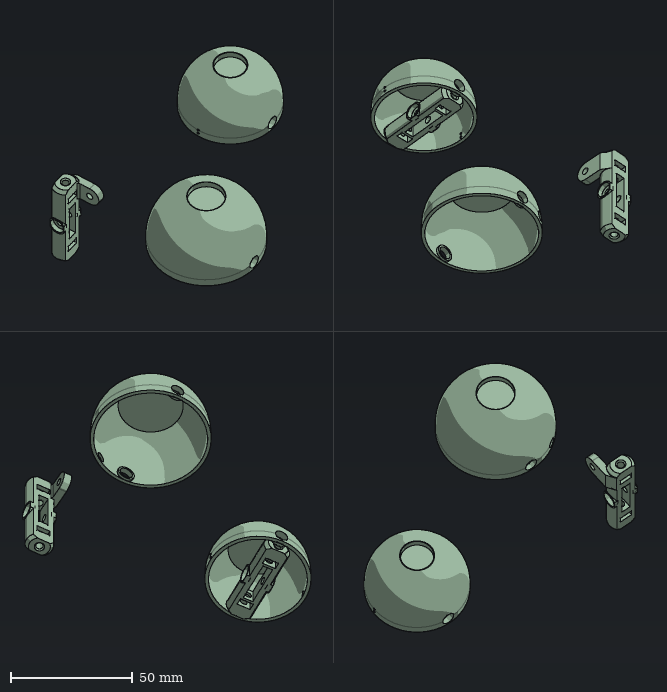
import cadquery as cq
import math

SMALL_DOME_RADIUS = 21.9
SMALL_DOME_HEIGHT = 20.7
SMALL_RECESS_RADIUS = 7.0
LARGE_DOME_RADIUS = 25.0
LARGE_DOME_HEIGHT = 23.6
LARGE_RECESS_RADIUS = 7.9
LARGE_DOME_CENTER = (40.8, -70.0, 4.9)
SKIRT_HEIGHT = 3.8
WALL = 1.2
RECESS_DEPTH = 2.8
RECESS_FLOOR = 1.2
SIDE_HOLE_DIAMETER = 5.6
SIDE_BOSS_RADIUS = 3.7
SMALL_SIDE_BORE = 3.2
LARGE_SIDE_BORE = 2.7
LEVER_HOLE_DIAMETER = 3.7
LEVER_HOLE_OFFSET = 13.0
THREAD_HOLE_DIAMETER = 1.0
THREAD_HOLE_SPACING = 2.0

SPINDLE_RADIUS = 6.0
SPINDLE_HALF_WIDTH = 3.5
END_CHAMFER = 1.5
TALL_SPINDLE_LENGTH = 43.1
TALL_SPINDLE_CENTER = (-14.0, -93.7, 0)
TALL_SPINDLE_TURN = 2
SHORT_SPINDLE_LENGTH = 37.4
SHORT_SPINDLE_DROP = 3.4
BORE_DIAMETER = 3.0
COUNTERSINK_DIAMETER = 4.3
SLOT_WIDTH = 4.4
SLOT_LENGTH = 18.2
NUT_SLOT_WIDTH = 6.0
NUT_SLOT_HEIGHT = 2.9
NUT_SLOT_INSET = 7.1
COLLAR_RADIUS = 4.0
COLLAR_REACH = 6.1
POCKET_RADIUS = 3.3
POCKET_DEPTH = 2.2

LEVER_BACK = 7.5
LEVER_THICKNESS = 3.5
LEVER_TIP_RADIUS = 4.6
LEVER_EYE = (9.4, 15.1)
LEVER_BEND_X = 0.6
LEVER_INNER_BEND_X = 4.5
LEVER_ROOT_BACK = 4.9


def cylinder(radius, length, direction):
    """Cylinder centred on the origin with its axis along direction."""
    axis = cq.Vector(*direction)
    return cq.Workplane(cq.Solid.makeCylinder(radius, length, axis * (-length / 2), axis))


def make_dome(radius, height, recess_radius):
    """Hollow flat-topped dome, open below, centred on its equator."""
    inner = radius - WALL
    ceiling = height - RECESS_DEPTH - RECESS_FLOOR
    rim = math.sqrt(radius**2 - height**2)
    inner_mouth = math.sqrt(inner**2 - SKIRT_HEIGHT**2)
    inner_rim = math.sqrt(inner**2 - ceiling**2)
    diagonal = math.sqrt(0.5)
    profile = (
        cq.Workplane("XZ")
        .moveTo(radius, -SKIRT_HEIGHT)
        .lineTo(radius, 0)
        .threePointArc((radius * diagonal, radius * diagonal), (rim, height))
        .lineTo(recess_radius, height)
        .lineTo(recess_radius, height - RECESS_DEPTH)
        .lineTo(0, height - RECESS_DEPTH)
        .lineTo(0, ceiling)
        .lineTo(inner_rim, ceiling)
        .threePointArc((inner * diagonal, inner * diagonal), (inner_mouth, -SKIRT_HEIGHT))
        .close()
    )
    return profile.revolve(360, (0, 0, 0), (0, 1, 0))


def add_side_holes(dome, radius, bore_length):
    """Side holes along X, each lengthened by a boss inside the wall."""
    boss_end = math.sqrt((radius - WALL) ** 2 - SIDE_BOSS_RADIUS**2) + WALL / 2
    boss_face = radius - bore_length
    boss_length = boss_end - boss_face
    for side in (-1, 1):
        boss = cylinder(SIDE_BOSS_RADIUS, boss_length, (1, 0, 0))
        dome = dome.union(boss.translate((side * (boss_face + boss_length / 2), 0, 0)))
    return dome.cut(cylinder(SIDE_HOLE_DIAMETER / 2, 2 * radius, (1, 0, 0)))


def make_small_dome():
    """Dome with two thread holes, one above the other, through the -Y and +Y walls."""
    dome = make_dome(SMALL_DOME_RADIUS, SMALL_DOME_HEIGHT, SMALL_RECESS_RADIUS)
    dome = add_side_holes(dome, SMALL_DOME_RADIUS, SMALL_SIDE_BORE)
    for level in (0, -THREAD_HOLE_SPACING):
        hole = cylinder(THREAD_HOLE_DIAMETER / 2, 2 * SMALL_DOME_RADIUS, (0, 1, 0))
        dome = dome.cut(hole.translate((0, 0, level)))
    return dome


def make_large_dome():
    """Dome with a second hole through its -X side only."""
    dome = make_dome(LARGE_DOME_RADIUS, LARGE_DOME_HEIGHT, LARGE_RECESS_RADIUS)
    dome = add_side_holes(dome, LARGE_DOME_RADIUS, LARGE_SIDE_BORE)
    hole = cylinder(LEVER_HOLE_DIAMETER / 2, LARGE_DOME_RADIUS, (1, 0, 0))
    dome = dome.cut(hole.translate((-LARGE_DOME_RADIUS / 2, -LEVER_HOLE_OFFSET, 0)))
    return dome.translate(LARGE_DOME_CENTER)


def make_spindle_blank(length):
    """Solid upright spindle with flats, chamfered ends and a pocketed collar on each side."""
    spindle = cylinder(SPINDLE_RADIUS, length, (0, 0, 1)).edges().chamfer(END_CHAMFER)
    spindle = spindle.union(cylinder(COLLAR_RADIUS, 2 * COLLAR_REACH, (0, 1, 0)))
    for side in (-1, 1):
        pocket = cylinder(POCKET_RADIUS, POCKET_DEPTH, (0, 1, 0))
        spindle = spindle.cut(pocket.translate((0, side * (COLLAR_REACH - POCKET_DEPTH / 2), 0)))
    flats = cq.Workplane().box(2 * SPINDLE_HALF_WIDTH, 2 * COLLAR_REACH, length)
    return spindle.intersect(flats)


def cut_spindle_openings(spindle, length):
    """Cross bores, countersinks, the long slot and the two nut slots."""
    bore_radius = BORE_DIAMETER / 2
    mouth_radius = COUNTERSINK_DIAMETER / 2
    sink_depth = mouth_radius - bore_radius
    spindle = spindle.cut(cylinder(bore_radius, length, (0, 0, 1)))
    spindle = spindle.cut(cylinder(bore_radius, 2 * COLLAR_REACH, (0, 1, 0)))
    for side in (-1, 1):
        sink = cq.Solid.makeCone(
            mouth_radius,
            bore_radius,
            sink_depth,
            cq.Vector(0, 0, side * length / 2),
            cq.Vector(0, 0, -side),
        )
        spindle = spindle.cut(cq.Workplane(sink))
        nut_slot = cq.Workplane().box(2 * SPINDLE_HALF_WIDTH, NUT_SLOT_WIDTH, NUT_SLOT_HEIGHT)
        spindle = spindle.cut(nut_slot.translate((0, 0, side * (length / 2 - NUT_SLOT_INSET))))
    return spindle.cut(cq.Workplane().box(2 * SPINDLE_HALF_WIDTH, SLOT_WIDTH, SLOT_LENGTH))


def make_lever():
    """Bent plate with a rounded, drilled tip, relative to the tall spindle's centre."""
    eye_x, eye_z = LEVER_EYE
    front = LEVER_BACK - LEVER_THICKNESS
    slope = (LEVER_BACK - LEVER_ROOT_BACK) / (LEVER_BEND_X + SPINDLE_HALF_WIDTH)
    root_front = front - slope * (LEVER_INNER_BEND_X + SPINDLE_HALF_WIDTH)
    plan = [
        (-SPINDLE_HALF_WIDTH, LEVER_ROOT_BACK),
        (LEVER_BEND_X, LEVER_BACK),
        (eye_x, LEVER_BACK),
        (eye_x, front),
        (LEVER_INNER_BEND_X, front),
        (-SPINDLE_HALF_WIDTH, root_front),
    ]
    plate = (
        cq.Workplane("XY")
        .polyline(plan)
        .close()
        .extrude(2 * LEVER_TIP_RADIUS)
        .translate((0, 0, eye_z - LEVER_TIP_RADIUS))
    )
    tip = cylinder(LEVER_TIP_RADIUS, LEVER_THICKNESS, (0, 1, 0))
    eye = cylinder(BORE_DIAMETER / 2, LEVER_THICKNESS, (0, 1, 0))
    eye_center = (eye_x, front + LEVER_THICKNESS / 2, eye_z)
    return plate.union(tip.translate(eye_center)).cut(eye.translate(eye_center))


def make_tall_spindle():
    """Upright spindle with the lever, turned slightly about its axis."""
    blank = make_spindle_blank(TALL_SPINDLE_LENGTH).union(make_lever())
    spindle = cut_spindle_openings(blank, TALL_SPINDLE_LENGTH)
    return spindle.rotate((0, 0, 0), (0, 0, 1), TALL_SPINDLE_TURN).translate(TALL_SPINDLE_CENTER)


def make_short_spindle():
    """Spindle lying along X under the small dome, its flats facing up and down."""
    spindle = cut_spindle_openings(make_spindle_blank(SHORT_SPINDLE_LENGTH), SHORT_SPINDLE_LENGTH)
    return spindle.rotate((0, 0, 0), (0, 1, 0), 90).translate((0, 0, -SHORT_SPINDLE_DROP))


small_dome = make_small_dome()
large_dome = make_large_dome()
tall_spindle = make_tall_spindle()
short_spindle = make_short_spindle()

result = cq.Compound.makeCompound(
    [small_dome.val(), large_dome.val(), tall_spindle.val(), short_spindle.val()]
)